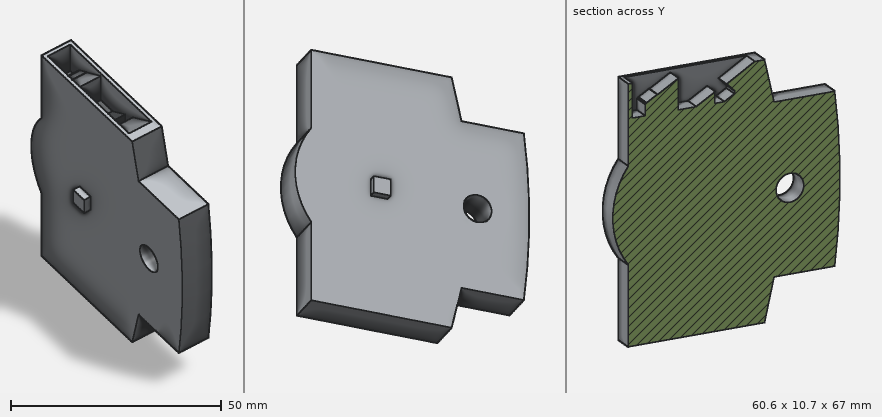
import cadquery as cq

height = 67.0
width = 60.65
total_depth = 10.7
boss_depth = 1.95
thickness = total_depth - boss_depth
top = height / 2

body_left = 4.15
bulge_half_height = 12.6
shoulder_x = 40.55
neck_x = 43.1
neck_half_height = 22.3
nose_corner_x = 59.2

feature_z = -0.3
boss_size = 4.35
boss_x = 21.7
hole_diameter = 7.25
hole_x = 47.25

pocket_left = 5.3
pocket_right = 37.85
pocket_wall = 1.1
pocket_depth = 8.85
pocket_width = thickness - 2 * pocket_wall
pocket_floor = top - pocket_depth

left_wedge = [(8.65, pocket_depth), (8.65, 5.95), (17.55, 0.8), (17.55, pocket_depth)]
middle_wedge = [(22.25, pocket_depth), (27.35, 5.9), (27.35, pocket_depth)]
right_wedge = [
    (29.75, pocket_depth),
    (32.4, 7.3),
    (32.4, 6.55),
    (30.35, 4.5),
    (pocket_right, 0),
    (pocket_right, pocket_depth),
]

pad = [(9.05, pocket_depth), (9.05, 5.6), (11.9, 3.95), (11.9, pocket_depth)]
pad_front_gap = 0.95


def make_plate():
    return (
        cq.Workplane("XZ")
        .moveTo(body_left, top)
        .lineTo(shoulder_x, top)
        .lineTo(neck_x, neck_half_height)
        .lineTo(nose_corner_x, neck_half_height)
        .threePointArc((width, 0), (nose_corner_x, -neck_half_height))
        .lineTo(neck_x, -neck_half_height)
        .lineTo(shoulder_x, -top)
        .lineTo(body_left, -top)
        .lineTo(body_left, -bulge_half_height)
        .threePointArc((0, 0), (body_left, bulge_half_height))
        .close()
        .extrude(-thickness)
    )


def make_boss():
    return (
        cq.Workplane("XZ")
        .center(boss_x, feature_z)
        .rect(boss_size, boss_size)
        .extrude(boss_depth)
    )


def make_hole():
    return (
        cq.Workplane("XZ")
        .center(hole_x, feature_z)
        .circle(hole_diameter / 2)
        .extrude(-thickness)
    )


def make_pocket():
    return cq.Workplane("XY").box(
        pocket_right - pocket_left, pocket_width, pocket_depth, centered=False
    ).translate((pocket_left, pocket_wall, pocket_floor))


def make_wedge(profile, front_gap=0):
    """Wedge reaching the back wall of the pocket, front_gap short of its front wall."""
    points = [(x, top - depth) for x, depth in profile]
    return (
        cq.Workplane("XZ", origin=(0, pocket_wall + front_gap, 0))
        .polyline(points)
        .close()
        .extrude(-(pocket_width - front_gap))
    )


pocket = make_pocket()
for wedge_profile in (left_wedge, middle_wedge, right_wedge):
    pocket = pocket.cut(make_wedge(wedge_profile))
pocket = pocket.cut(make_wedge(pad, pad_front_gap))

result = make_plate().union(make_boss()).cut(make_hole()).cut(pocket)